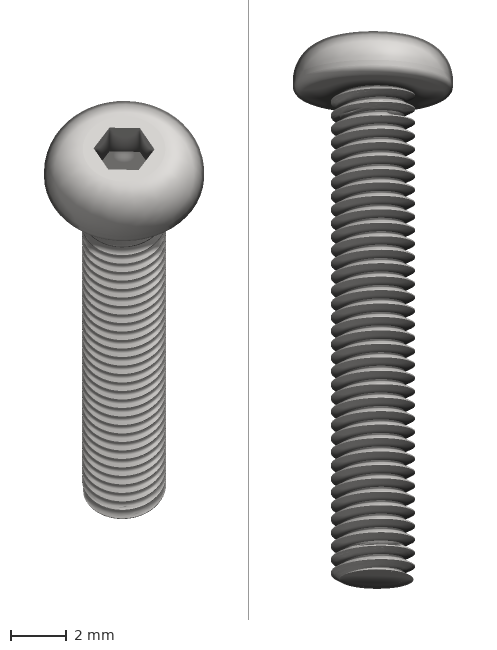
import cadquery as cq
import math

total_length = 19.88
head_height = 1.89
shank_length = total_length - head_height

head_diameter = 5.75
head_radius = head_diameter / 2
dome_radius = 1.4
underside_fillet = 0.3

socket_flats = 1.89
socket_depth = 1.4
socket_corners = socket_flats / math.cos(math.pi / 6)

core_radius = 2.27 / 2
crest_radius = 3.02 / 2
thread_turns = 36
pitch = shank_length / thread_turns
root_width = 0.45
crest_width = 0.04
crest_start = 0.15


def make_core(bottom, height):
    return cq.Workplane("XY").workplane(offset=bottom).circle(core_radius).extrude(height)


def make_head():
    """Domed head with a narrow cylindrical band and a rounded lower edge."""
    blank = cq.Workplane("XY").circle(head_radius).extrude(head_height)
    head = blank.faces(">Z").edges().fillet(dome_radius)
    return head.faces("<Z").edges().fillet(underside_fillet)


def make_socket():
    return (
        cq.Workplane("XY")
        .workplane(offset=head_height - socket_depth)
        .transformed(rotate=(0, 0, 90))
        .polygon(6, socket_corners)
        .extrude(socket_depth)
    )


def make_screw():
    """Head and unthreaded core in one piece."""
    return make_head().union(make_core(-shank_length, shank_length)).cut(make_socket())


def make_thread():
    """Helical ridge on the core, cut off flat at the head and at the tip."""
    sweep_start = -shank_length + crest_start - pitch
    sweep_length = shank_length + 2 * pitch
    helix = cq.Wire.makeHelix(pitch, sweep_length, core_radius)
    ridge = (
        cq.Workplane("XZ")
        .moveTo(core_radius, -root_width / 2)
        .lineTo(crest_radius, -crest_width / 2)
        .lineTo(crest_radius, crest_width / 2)
        .lineTo(core_radius, root_width / 2)
        .close()
        .sweep(cq.Workplane(obj=helix), isFrenet=True)
        .translate((0, 0, sweep_start))
    )
    shank_envelope = (
        cq.Workplane("XY").workplane(offset=-shank_length).circle(head_radius).extrude(shank_length)
    )
    return ridge.intersect(shank_envelope)


screw = make_screw()
thread = make_thread()
result = cq.Compound.makeCompound([screw.val(), *thread.vals()])